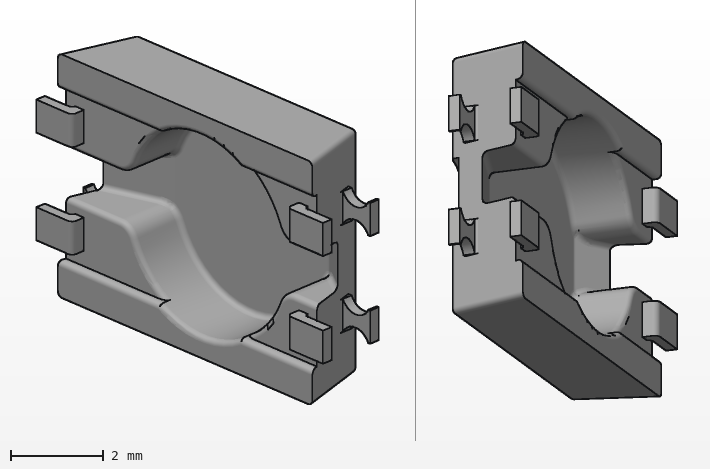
import cadquery as cq
import math

length = 8.78
body_length = 7.8
body_depth = 1.9
body_height = 5.8
end_draft = 16.0
round_radius = 0.13

band_height = 4.09
band_depth = 0.19

pocket_x = 0.46
pocket_radius = 2.39
pocket_depth = 1.59
neck_radius = 0.5
channel_height = 1.185
channel_end_depth = 1.07
left_ramp_foot_x = -1.94
right_ramp_foot_x = 2.8

notch_radius = 0.6
notch_depth = 0.19

lead_thickness = 0.26
lead_width = 0.79
lead_pitch = 2.56
lead_leg_x = 3.56
foot_height = 0.17
foot_bend_radius = 0.1
tab_inset = 0.37
scallop_length = 0.77
scallop_sag = 0.24

end_slope = math.tan(math.radians(end_draft))
selection_margin = 0.01
half_length = length / 2
half_height = body_height / 2


def end_face_x(y):
    """Half length of the drafted body at depth y."""
    return body_length / 2 - y * end_slope


def box_between(low, high):
    """Box spanning two opposite corners."""
    size = [b - a for a, b in zip(low, high)]
    return cq.Workplane("XY").box(*size, centered=False).translate(low)


def plan_solid(points, height):
    """Extrude an XY outline symmetrically about z = 0."""
    return cq.Workplane("XY").polyline(points).close().extrude(height / 2, both=True)


def make_body():
    front_x = end_face_x(0)
    back_x = end_face_x(body_depth)
    outline = [(-front_x, 0), (front_x, 0), (back_x, body_depth), (-back_x, body_depth)]
    body = plan_solid(outline, body_height)
    return body.edges("not <Y").fillet(round_radius)


def pocket_prism():
    """Straight-walled pocket and channel, with rounded necks where they join."""
    half_channel = channel_height / 2
    round_prism = cq.Workplane("XZ").center(pocket_x, 0).circle(pocket_radius).extrude(-length)
    channel = box_between((-half_length, 0, -half_channel), (half_length, length, half_channel))
    prism = round_prism.union(channel)
    neck_corners = prism.edges("|Y").edges("not(<X or >X)")
    return neck_corners.fillet(neck_radius)


def make_pocket():
    """Pocket with a flat floor, channel ramps and a rounded rim and ramp feet."""
    channel_end_x = end_face_x(channel_end_depth)
    ramp_rise = pocket_depth - channel_end_depth
    left_slope = ramp_rise / (channel_end_x + left_ramp_foot_x)
    right_slope = ramp_rise / (channel_end_x - right_ramp_foot_x)
    overrun = half_length - channel_end_x
    profile = [
        (-half_length, 0),
        (-half_length, channel_end_depth - overrun * left_slope),
        (left_ramp_foot_x, pocket_depth),
        (right_ramp_foot_x, pocket_depth),
        (half_length, channel_end_depth - overrun * right_slope),
        (half_length, 0),
    ]
    floor_limit = plan_solid(profile, body_height)
    floor_limit = floor_limit.edges("|Z").edges("not(<X or >X)").fillet(round_radius)
    pocket = pocket_prism().intersect(floor_limit)
    floor_rim = pocket.edges("not(<X or >X or <Y or |Y or |Z)")
    return floor_rim.fillet(round_radius)


def inner_edges(y, max_z):
    """Selector for the edges at depth y that lie inside the outline of the front."""
    max_x = end_face_x(0) - round_radius
    low = (-max_x, y - selection_margin, -max_z)
    high = (max_x, y + selection_margin, max_z)
    return cq.selectors.BoxSelector(low, high)


def cut_front(body):
    """Cut the band and the pocket, then round the edges they leave."""
    half_band = band_height / 2
    band = box_between((-half_length, 0, -half_band), (half_length, band_depth, half_band))
    body = body.cut(band).cut(make_pocket())
    edges = body.edges(inner_edges(0, half_height - round_radius))
    edges = edges.add(body.edges(inner_edges(band_depth, half_band - selection_margin)))
    return edges.fillet(round_radius)


def make_notch():
    back = cq.Workplane("XZ", origin=(-end_face_x(body_depth), body_depth, 0))
    return back.circle(notch_radius).extrude(notch_depth)


def make_lead():
    """Lead at the right end, centred on z = 0."""
    leg_inner_x = lead_leg_x - lead_thickness
    foot_back_y = lead_thickness - foot_height
    tab_back_y = body_depth - tab_inset
    tab_front_y = tab_back_y - lead_thickness
    outline = [
        (leg_inner_x, -foot_height),
        (half_length, -foot_height),
        (half_length, foot_back_y),
        (lead_leg_x, foot_back_y),
        (lead_leg_x, tab_front_y),
        (half_length, tab_front_y),
        (half_length, tab_back_y),
        (leg_inner_x, tab_back_y),
    ]
    lead = plan_solid(outline, lead_width)
    lead = lead.edges("|Z").edges("<Y").edges("<X").fillet(round_radius)
    foot_corner = (lead_leg_x, foot_back_y, 0)
    lead = lead.edges(cq.selectors.NearestToPointSelector(foot_corner)).fillet(foot_bend_radius)
    for side in (1, -1):
        edge_z = side * lead_width / 2
        scallop = (
            cq.Workplane("XZ", origin=(0, tab_front_y, 0))
            .moveTo(lead_leg_x, edge_z)
            .threePointArc(
                (lead_leg_x + scallop_length / 2, edge_z - side * scallop_sag),
                (lead_leg_x + scallop_length, edge_z),
            )
            .close()
            .extrude(-lead_thickness)
        )
        lead = lead.cut(scallop)
    return lead


result = cut_front(make_body()).cut(make_notch())
right_lead = make_lead()
left_lead = right_lead.mirror("YZ")
for z in (-lead_pitch / 2, lead_pitch / 2):
    for lead in (right_lead, left_lead):
        result = result.union(lead.translate((0, 0, z)))